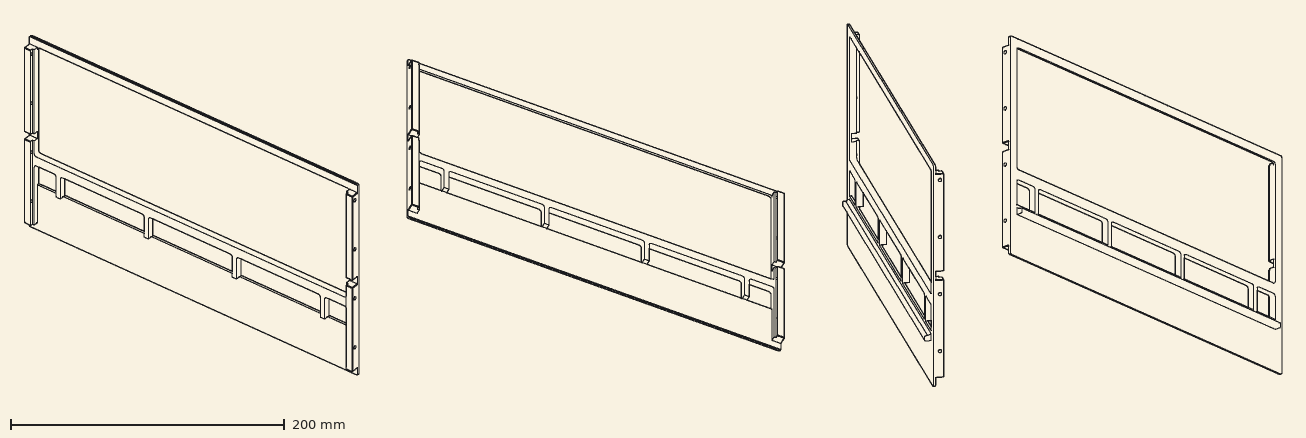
import cadquery as cq

WIDTH = 302.32
HEIGHT = 173.03
DEPTH = 8.0
SHEET = 1.8
CORNER_RADIUS = 1.5
SHEET_CHAMFER = 0.5

MEMBER_DEPTH = 5.5
POST_WIDTH = 7.5
RAIL_HEIGHT = 7.0
INNER_RADIUS = 2.0

BAR_TOP = -16.9
BAR_BOTTOM = -25.1
PANEL_TOP = -45.1

SLAT_WIDTH = 4.0
SLAT_PITCH = 81.1
SLAT_COUNT = 4

LIP_WIDTH = 5.8
POST_GAP = 6.4
POST_CHAMFER = 0.5

HOLE_DIAMETER = 2.53
HOLE_DEPTH = 5.0
HOLE_FROM_BACK = 5.0
HOLE_PITCH = 44.45
HOLE_COUNT = 4
TOP_HOLE_Z = 74.5

HOOK_REACH = 5.0
HOOK_ROOT_REACH = 2.7
HOOK_ROOT_TOP = -47.6
HOOK_FLAT_TOP = -48.9
HOOK_BOTTOM = -53.0
HOOK_TIP_RADIUS = 1.0

OPENING_WIDTH = WIDTH - 2 * POST_WIDTH
OPENING_TOP = HEIGHT / 2 - RAIL_HEIGHT
POST_LENGTH = OPENING_TOP - POST_GAP / 2


def block(x0, x1, depth, z0, z1):
    """Box from the back plane forward, between the given X and Z limits."""
    return cq.Workplane("XY").box(x1 - x0, depth, z1 - z0, centered=False).translate((x0, -depth, z0))


def make_sheet():
    sheet = block(-WIDTH / 2, WIDTH / 2, SHEET, -HEIGHT / 2, HEIGHT / 2)
    sheet = sheet.faces(">Z or <Z").edges("<Y").chamfer(SHEET_CHAMFER)
    return sheet.edges("|Y").fillet(CORNER_RADIUS)


def make_left_post(z0):
    """One length of stepped post, with its outer and front edges broken."""
    profile = [
        (0, 0),
        (POST_WIDTH, 0),
        (POST_WIDTH, -MEMBER_DEPTH),
        (LIP_WIDTH, -MEMBER_DEPTH),
        (LIP_WIDTH, -DEPTH),
        (0, -DEPTH),
    ]
    post = cq.Workplane("XY").polyline(profile).close().extrude(POST_LENGTH)
    outer_edges = post.faces("<X").edges("|Y or <Y")
    end_edges = post.faces("<Y").edges("|X")
    post = post.newObject(outer_edges.vals() + end_edges.vals()).chamfer(POST_CHAMFER)
    return post.translate((-WIDTH / 2, 0, z0))


def make_posts():
    upper = make_left_post(POST_GAP / 2)
    lower = make_left_post(-POST_GAP / 2 - POST_LENGTH)
    left = upper.union(lower)
    return left.union(left.mirror("YZ"))


def make_grille():
    """Solid stock for the bar and slats, tall enough to hold the rounded corners above the bar."""
    half = OPENING_WIDTH / 2
    return block(-half, half, MEMBER_DEPTH, PANEL_TOP, BAR_TOP + INNER_RADIUS)


def window(x0, x1, z0, z1, rounded):
    cut = block(x0, x1, DEPTH, z0, z1)
    return cut.edges(rounded).fillet(INNER_RADIUS)


def cut_windows(body):
    half = OPENING_WIDTH / 2
    body = body.cut(window(-half, half, BAR_TOP, OPENING_TOP, "|Y"))
    first = -SLAT_PITCH * (SLAT_COUNT - 1) / 2
    slats = [first + SLAT_PITCH * i for i in range(SLAT_COUNT)]
    starts = [-half] + [x + SLAT_WIDTH / 2 for x in slats]
    ends = [x - SLAT_WIDTH / 2 for x in slats] + [half]
    for x0, x1 in zip(starts, ends):
        body = body.cut(window(x0, x1, PANEL_TOP, BAR_BOTTOM, "|Y and >Z"))
    return body


def cut_holes(body):
    for i in range(HOLE_COUNT):
        z = TOP_HOLE_Z - HOLE_PITCH * i
        drill = cq.Workplane("YZ").center(-HOLE_FROM_BACK, z).circle(HOLE_DIAMETER / 2)
        drill = drill.extrude(HOLE_DEPTH).translate((-WIDTH / 2, 0, 0))
        body = body.cut(drill).cut(drill.mirror("YZ"))
    return body


def make_hook():
    points = [
        (0, HOOK_ROOT_TOP),
        (HOOK_ROOT_REACH, HOOK_FLAT_TOP),
        (HOOK_REACH, HOOK_FLAT_TOP),
        (HOOK_REACH, HOOK_BOTTOM),
        (0, HOOK_BOTTOM),
    ]
    hook = cq.Workplane("YZ").polyline(points).close().extrude(OPENING_WIDTH / 2, both=True)
    return hook.faces(">Y").edges("|X").fillet(HOOK_TIP_RADIUS)


frame = make_sheet().union(make_posts()).union(make_grille())
frame = cut_windows(frame)
result = cut_holes(frame).union(make_hook())